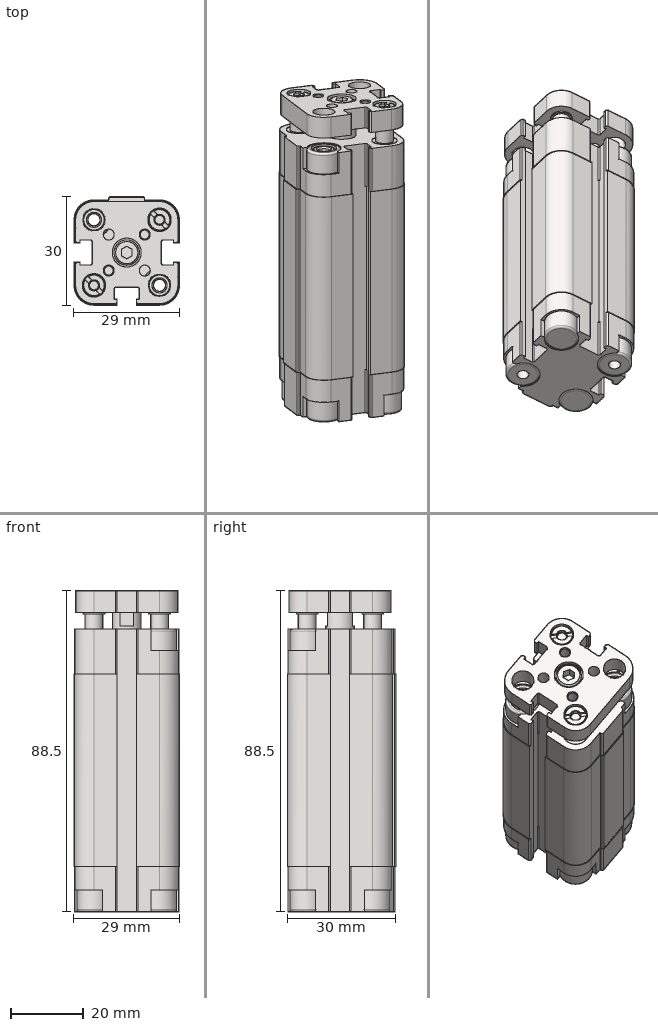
import cadquery as cq
import math

total_height = 88.5
plate_thickness = 6.0
housing_height = 78.0
cap_height = 12.5
plate_bottom = total_height - plate_thickness

barrel_half = 14.5
cap_half = 14.3
plate_half = 14.1
guide_offset = 9.0

slot_opening = 5.3
slot_width = 6.8
slot_floor = 9.6
slot_lip = 12.8
mouth_chamfer = 0.4
floor_chamfer = 0.35

rail_width = 9.9
barrel_rail_top = 15.5
cap_rail_top = 15.2
rail_chamfer = 0.4

corner_diameter = 9.5
corner_height = 6.0
corner_wall = 6.7
corner_fillet = 0.6

mount_bore = 3.3
mount_sink = 4.2
mount_sink_depth = 0.4
mount_recess_diameter = 7.0
mount_recess_depth = 1.0
sleeve_diameter = 6.5
sleeve_top_diameter = 5.7
sleeve_drop = 0.3

guide_diameter = 5.0
guide_insertion = 8.85
collar_diameter = 6.0
collar_height = 0.4
bushing_diameter = 7.0
bushing_recess = 0.1
head_pocket_diameter = 6.5
head_diameter = 6.1
head_top_diameter = 5.7
head_recess = 0.4
head_pocket_depth = 3.0
head_slot_width = 1.2
head_slot_depth = 0.7
head_bore = 3.0
head_bore_bottom = 2.5
head_bore_depth = 1.1

rod_diameter = 8.0
rod_insertion = 8.85
rod_flats = 7.0
rod_shoulder = 0.8
rod_end_diameter = 7.0
rod_end_top_diameter = 6.1
rod_end_recess = 0.3
rod_groove_depth = 1.1
hex_flats = 3.0
hex_depth = 3.0

clearance_diameter = 6.0
thread_offset = 5.0
thread_diameter = 3.0
thread_core = 2.5
thread_sink = 0.3

pin_corners = [(-1, 1), (1, -1)]
guide_corners = [(-1, -1), (1, 1)]


def cylinder(x, y, z, diameter, height):
    return cq.Workplane("XY", origin=(x, y, z)).circle(diameter / 2).extrude(height)


def cone(x, y, z, bottom_diameter, top_diameter, height):
    solid = cq.Solid.makeCone(bottom_diameter / 2, top_diameter / 2, height, cq.Vector(x, y, z))
    return cq.Workplane(solid)


def slot_tool(half, z, height, bevelled):
    """T-slot cutter for the +X side, with its mouth and floor corners optionally bevelled."""
    neck = slot_opening / 2
    side = slot_width / 2
    lip = [(slot_lip, side), (slot_lip, neck)]
    if bevelled:
        floor = [(slot_floor, side - floor_chamfer), (slot_floor + floor_chamfer, side)]
        mouth = [(half - mouth_chamfer, neck), (half, neck + mouth_chamfer)]
    else:
        floor = [(slot_floor, side)]
        mouth = [(half, neck)]
    points = floor + lip + mouth
    mirrored = [(x, -y) for x, y in reversed(points)]
    return cq.Workplane("XY", origin=(0, 0, z)).polyline(points + mirrored).close().extrude(height)


def slotted_block(half, z, height, bevelled):
    """Square block with rounded corners and T-slots on its -X, +X and -Y sides."""
    block = cq.Workplane("XY", origin=(0, 0, z)).rect(2 * half, 2 * half).extrude(height)
    block = block.edges("|Z").fillet(half - guide_offset)
    tool = slot_tool(half, z, height, bevelled)
    for angle in (0, 180, -90):
        block = block.cut(tool.rotate((0, 0, 0), (0, 0, 1), angle))
    return block


def housing_section(half, rail_top, z, height, bevelled):
    """One length of the housing: slotted block with its +Y rail."""
    rail = (
        cq.Workplane("XY", origin=(0, 0, z))
        .polyline([
            (-rail_width / 2, 0),
            (rail_width / 2, 0),
            (rail_width / 2, rail_top - rail_chamfer),
            (rail_width / 2 - rail_chamfer, rail_top),
            (-rail_width / 2 + rail_chamfer, rail_top),
            (-rail_width / 2, rail_top - rail_chamfer),
        ])
        .close()
        .extrude(height)
    )
    return slotted_block(half, z, height, bevelled).union(rail)


def chamfered_head(x, y, bottom, top, diameter, top_diameter):
    """Upright cylinder whose upper rim is bevelled at 45 degrees to the top diameter."""
    bevel = (diameter - top_diameter) / 2
    shank = cylinder(x, y, bottom, diameter, top - bevel - bottom)
    return shank.union(cone(x, y, top - bevel, diameter, top_diameter, bevel))


def corner_cutter(sign_x, sign_y):
    """Tool, open towards Z = 0, that turns one housing corner round with a filleted end rim."""
    reach = 2 * (barrel_half - corner_wall)
    middle = corner_wall + reach / 2
    x, y = sign_x * guide_offset, sign_y * guide_offset
    block = cq.Workplane("XY", origin=(sign_x * middle, sign_y * middle, 0)).rect(reach, reach)
    post = cylinder(x, y, 0, corner_diameter, corner_height)
    rounded_post = post.faces("<Z").edges().fillet(corner_fillet)
    return block.extrude(corner_height).union(post).cut(rounded_post)


def make_housing():
    barrel_height = housing_height - 2 * cap_height
    cap_top = housing_height - cap_height
    lower_cap = housing_section(cap_half, cap_rail_top, 0, cap_height, True)
    barrel = housing_section(barrel_half, barrel_rail_top, cap_height, barrel_height, False)
    upper_cap = housing_section(cap_half, cap_rail_top, cap_top, cap_height, True)
    housing = lower_cap.union(barrel).union(upper_cap)

    for sign_x, sign_y in pin_corners + guide_corners:
        housing = housing.cut(corner_cutter(sign_x, sign_y))
    middle_plane = (0, 0, housing_height / 2)
    for sign_x, sign_y in pin_corners:
        housing = housing.cut(corner_cutter(sign_x, sign_y).mirror("XY", middle_plane))

    for sign_x, sign_y in pin_corners:
        x, y = sign_x * guide_offset, sign_y * guide_offset
        recess_bottom = housing_height - mount_recess_depth
        sleeve_top = housing_height - sleeve_drop
        sleeve = chamfered_head(x, y, recess_bottom, sleeve_top, sleeve_diameter, sleeve_top_diameter)
        housing = housing.cut(
            cylinder(x, y, recess_bottom, mount_recess_diameter, mount_recess_depth).cut(sleeve)
        )
        housing = housing.cut(cylinder(x, y, 0, mount_bore, housing_height))
        housing = housing.cut(
            cone(x, y, sleeve_top - mount_sink_depth, mount_bore, mount_sink, mount_sink_depth)
        )

    for sign_x, sign_y in guide_corners:
        x, y = sign_x * guide_offset, sign_y * guide_offset
        housing = housing.cut(
            cylinder(x, y, housing_height - guide_insertion, guide_diameter, guide_insertion)
        )
        housing = housing.cut(
            cylinder(x, y, housing_height - bushing_recess, bushing_diameter, bushing_recess)
        )

    return housing.cut(cylinder(0, 0, housing_height - rod_insertion, rod_diameter, rod_insertion))


def add_guide_rod(slide, x, y):
    """Guide rod with a collar under the plate and a slotted screw head sunk in its top."""
    rod_bottom = housing_height - guide_insertion
    slide = slide.union(cylinder(x, y, rod_bottom, guide_diameter, plate_bottom - rod_bottom))
    slide = slide.union(cylinder(x, y, plate_bottom - collar_height, collar_diameter, collar_height))

    head_top = total_height - head_recess
    head_pocket_bottom = total_height - head_pocket_depth
    head = chamfered_head(x, y, head_pocket_bottom, head_top, head_diameter, head_top_diameter)
    screwdriver_slot = (
        cq.Workplane("XY")
        .box(head_diameter, head_slot_width, head_slot_depth, centered=(True, True, False))
        .rotate((0, 0, 0), (0, 0, 1), -45)
        .translate((x, y, head_top - head_slot_depth))
    )
    bore_bottom = head_top - head_bore_depth
    bevel = (head_bore - head_bore_bottom) / 2
    bore = cylinder(x, y, bore_bottom + bevel, head_bore, head_bore_depth - bevel)
    bore_end = cone(x, y, bore_bottom, head_bore_bottom, head_bore, bevel)
    head = head.cut(screwdriver_slot).cut(bore).cut(bore_end)
    pocket = cylinder(x, y, head_pocket_bottom, head_pocket_diameter, head_pocket_depth)
    return slide.cut(pocket.cut(head))


def add_piston_rod(slide):
    """Rod with wrench flats under the plate and a hexagon socket in its bevelled end."""
    rod_bottom = housing_height - rod_insertion
    flats_bottom = housing_height + rod_shoulder
    flats_height = plate_bottom - flats_bottom
    shank = cylinder(0, 0, rod_bottom, rod_diameter, flats_bottom - rod_bottom)
    flats = cq.Workplane("XY", origin=(0, 0, flats_bottom)).rect(rod_diameter, rod_flats)
    neck = cylinder(0, 0, flats_bottom, rod_diameter, flats_height).intersect(flats.extrude(flats_height))
    slide = slide.union(shank).union(neck)

    end_top = total_height - rod_end_recess
    groove_bottom = total_height - rod_groove_depth
    rod_end = chamfered_head(0, 0, groove_bottom, end_top, rod_end_diameter, rod_end_top_diameter)
    groove = cylinder(0, 0, groove_bottom, rod_diameter, rod_groove_depth).cut(rod_end)
    hexagon = cq.Workplane("XY", origin=(0, 0, end_top)).polygon(6, hex_flats / math.cos(math.pi / 6))
    socket = hexagon.extrude(-hex_depth).rotate((0, 0, 0), (0, 0, 1), 30)
    return slide.cut(groove).cut(socket)


def make_slide():
    """Moving body: end plate with its guide rods and piston rod."""
    slide = slotted_block(plate_half, plate_bottom, plate_thickness, True)

    for sign_x, sign_y in pin_corners:
        x, y = sign_x * guide_offset, sign_y * guide_offset
        slide = slide.cut(cylinder(x, y, plate_bottom, clearance_diameter, plate_thickness))
        x, y = sign_x * thread_offset, sign_y * thread_offset
        slide = slide.cut(cylinder(x, y, plate_bottom, thread_diameter, plate_thickness))

    for sign_x, sign_y in guide_corners:
        slide = add_guide_rod(slide, sign_x * guide_offset, sign_y * guide_offset)
        x, y = sign_x * thread_offset, sign_y * thread_offset
        slide = slide.cut(cylinder(x, y, plate_bottom, thread_core, plate_thickness))
        slide = slide.cut(
            cone(x, y, total_height - thread_sink, thread_core, thread_diameter, thread_sink)
        )

    return add_piston_rod(slide)


housing = make_housing()
slide = make_slide()
result = cq.Compound.makeCompound([housing.val(), slide.val()])